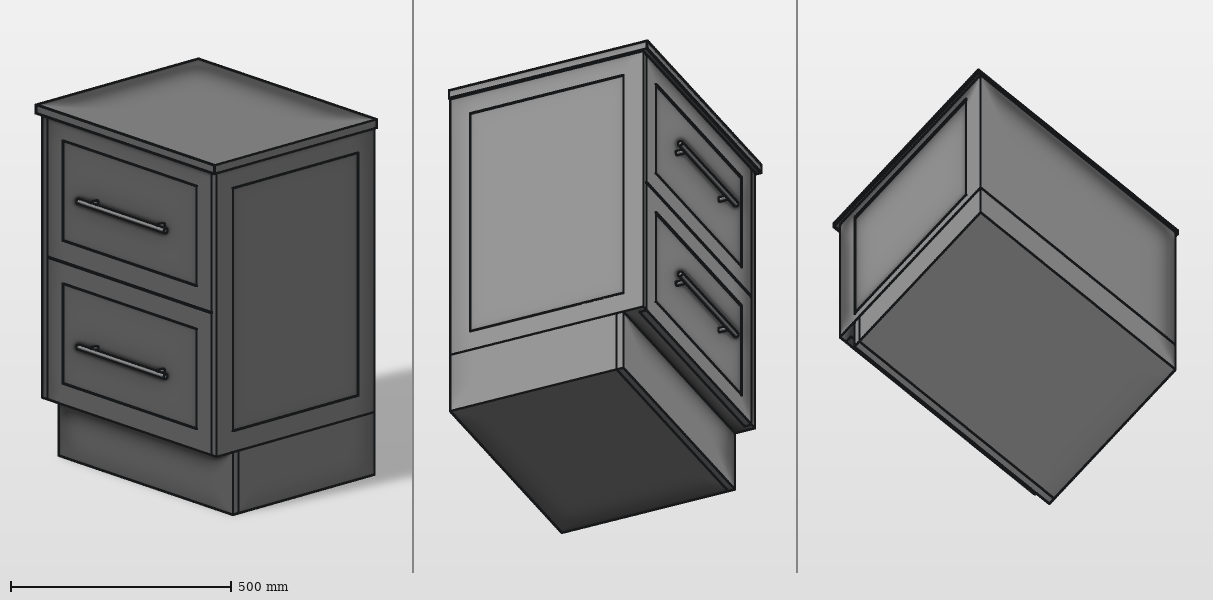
import cadquery as cq


total_height = 850.0
board_thickness = 18.0
frame_width = 50.0

worktop_width = 600.0
worktop_depth = 500.0
worktop_thickness = 20.0
edge_strip_depth = 2.5
edge_strip_back_y = edge_strip_depth - worktop_depth

side_overhang = 7.0
carcass_depth = 486.0
carcass_width = worktop_width - 2 * side_overhang
plinth_height = 150.0
plinth_setback = 50.0
plinth_front_thickness = 17.0
plinth_depth = carcass_depth - plinth_setback
plinth_front_back_y = plinth_front_thickness - plinth_depth
carcass_top = total_height - worktop_thickness
carcass_height = carcass_top - plinth_height
side_panel_recess = 3.0

drawer_count = 2
drawer_gap = 2.5
front_width = carcass_width - 2 * board_thickness
front_height = (carcass_height - (drawer_count - 1) * drawer_gap) / drawer_count
front_pitch = front_height + drawer_gap
front_panel_recess = 3.0
front_face_y = -carcass_depth
front_back_y = front_face_y + board_thickness
panel_face_y = front_face_y + front_panel_recess

handle_reach = 515.0
handle_length = 294.0
bar_diameter = 12.0
post_diameter = 10.0
post_spacing = 223.5
lowest_handle_z = 311.0
handle_pitch = 348.0
bar_y = bar_diameter / 2 - handle_reach


def block(width, back_y, front_y, bottom_z, height):
    """A box centred on X, from back_y forward to front_y, standing on bottom_z."""
    return (
        cq.Workplane("XY")
        .box(width, back_y - front_y, height, centered=(True, False, False))
        .translate((0, front_y, bottom_z))
    )


def make_worktop():
    return block(worktop_width, 0, edge_strip_back_y, carcass_top, worktop_thickness)


def make_edge_strip():
    return block(worktop_width, edge_strip_back_y, -worktop_depth, carcass_top, worktop_thickness)


def make_carcass():
    """Carcass with a front opening for the drawer fronts and a sunk panel in each side."""
    body = block(carcass_width, 0, -carcass_depth, plinth_height, carcass_height)
    opening = block(front_width, front_back_y, front_face_y, plinth_height, carcass_height)
    body = body.cut(opening)

    panel_depth = carcass_depth - 2 * frame_width
    panel_height = carcass_height - 2 * frame_width
    for side in (-1, 1):
        panel = (
            cq.Workplane("XY")
            .box(2 * side_panel_recess, panel_depth, panel_height)
            .translate((side * carcass_width / 2, -carcass_depth / 2, plinth_height + carcass_height / 2))
        )
        body = body.cut(panel)
    return body


def make_plinth():
    return block(carcass_width, 0, plinth_front_back_y, 0, plinth_height)


def make_plinth_front():
    return block(carcass_width, plinth_front_back_y, -plinth_depth, 0, plinth_height)


def make_drawer_front(bottom_z):
    """Framed drawer front with a sunk middle panel."""
    front = block(front_width, front_back_y, front_face_y, bottom_z, front_height)
    panel = block(
        front_width - 2 * frame_width,
        panel_face_y,
        front_face_y,
        bottom_z + frame_width,
        front_height - 2 * frame_width,
    )
    return front.cut(panel)


def make_handle(center_z):
    """Round bar on two round posts that stand on the sunk panel of a drawer front."""
    handle = (
        cq.Workplane("YZ")
        .center(bar_y, center_z)
        .circle(bar_diameter / 2)
        .extrude(handle_length / 2, both=True)
    )
    posts = (
        cq.Workplane("XZ", origin=(0, panel_face_y, center_z))
        .pushPoints([(-post_spacing / 2, 0), (post_spacing / 2, 0)])
        .circle(post_diameter / 2)
        .extrude(panel_face_y - bar_y)
    )
    return handle.union(posts)


worktop = make_worktop()
edge_strip = make_edge_strip()
carcass = make_carcass()
plinth = make_plinth()
plinth_front = make_plinth_front()
drawer_fronts = [make_drawer_front(plinth_height + i * front_pitch) for i in range(drawer_count)]
handles = [make_handle(lowest_handle_z + i * handle_pitch) for i in range(drawer_count)]

result = cq.Compound.makeCompound(
    [
        worktop.val(),
        edge_strip.val(),
        carcass.val(),
        plinth.val(),
        plinth_front.val(),
        *[front.val() for front in drawer_fronts],
        *[handle.val() for handle in handles],
    ]
)